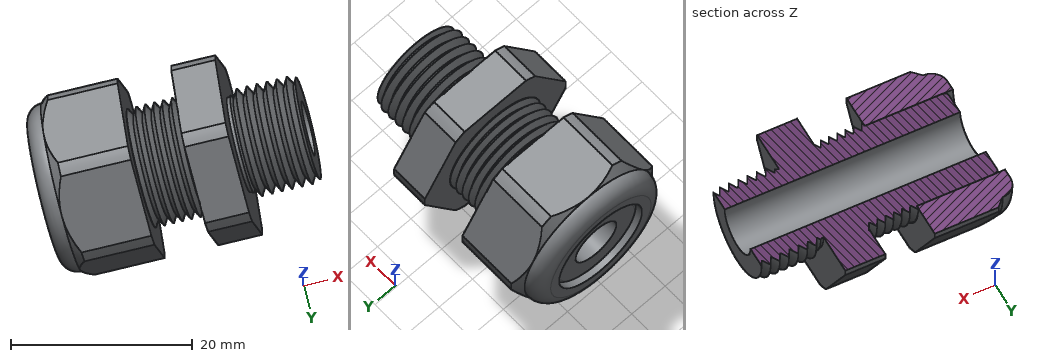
import cadquery as cq
import math


TOTAL_LENGTH = 29.97
NUT_LENGTH = 11.0
COLLAR_START = 17.08
COLLAR_LENGTH = 5.0
COLLAR_END = COLLAR_START + COLLAR_LENGTH

ACROSS_FLATS = 19.05
ACROSS_CORNERS = 21.15
FLAT_RADIUS = ACROSS_FLATS / 2
CORNER_RADIUS = ACROSS_CORNERS / 2

DOME_RADIUS = 2.0
CORNER_CHAMFER = CORNER_RADIUS - FLAT_RADIUS

SHANK_RADIUS = 6.2
SHANK_SETBACK = 0.75
SHANK_ROUNDING = 0.48
BORE_RADIUS = 3.05

FLANK_SLOPE = math.tan(math.radians(60))
SHORTEST_FLANK = 0.003
NUT_THREAD_RADIUS = 6.75
NUT_THREAD_PITCH = 1.02
NUT_THREAD_FIRST_CREST = 11.05
NUT_THREAD_GROOVES = 6
NUT_THREAD_LAST_CREST = NUT_THREAD_FIRST_CREST + NUT_THREAD_GROOVES * NUT_THREAD_PITCH
ENTRY_THREAD_RADIUS = 6.08
ENTRY_THREAD_PITCH = 1.15
ENTRY_THREAD_FIRST_CREST = 23.32

NECK_START_RADIUS = 5.35
NECK_END_RADIUS = 5.5
NECK_END = 22.5


def cylinder(radius, start, end):
    """Solid cylinder on the X axis."""
    return cq.Workplane("YZ", origin=(start, 0, 0)).circle(radius).extrude(end - start)


def hexagon(start, end):
    """Hexagonal prism with flats facing +Z and -Z and its corners turned down to a cylinder."""
    sharp_across_corners = ACROSS_FLATS / math.cos(math.radians(30))
    prism = cq.Workplane("YZ", origin=(start, 0, 0)).polygon(6, sharp_across_corners).extrude(end - start)
    return prism.intersect(cylinder(CORNER_RADIUS, start, end))


def revolve_about_x(outline):
    """Solid of revolution from a closed outline in the XY plane."""
    return outline.close().revolve(360, (0, 0, 0), (1, 0, 0))


def thread(start, end, first_crest, pitch, crest_radius):
    """Row of V ridges from start to end, cut off square wherever the ends fall on a flank."""

    def radius_at(x):
        past_crest = (x - first_crest) % pitch
        return crest_radius - FLANK_SLOPE * min(past_crest, pitch - past_crest)

    half_pitch = pitch / 2
    first_turn = math.ceil((start - first_crest) / half_pitch)
    last_turn = math.floor((end - first_crest) / half_pitch)
    turns = [first_crest + i * half_pitch for i in range(first_turn, last_turn + 1)]
    inner_turns = [x for x in turns if min(x - start, end - x) > SHORTEST_FLANK]
    ridges = [(x, radius_at(x)) for x in [start, *inner_turns, end]]
    return revolve_about_x(cq.Workplane("XY").polyline([(start, 0), *ridges, (end, 0)]))


def flared_neck():
    """Neck that leaves the collar parallel to the axis and curves outwards to meet the entry thread."""
    length = NECK_END - COLLAR_END
    flare = NECK_END_RADIUS - NECK_START_RADIUS
    arc_radius = (length**2 + flare**2) / (2 * flare)
    outline = (
        cq.Workplane("XY")
        .moveTo(COLLAR_END, 0)
        .lineTo(COLLAR_END, NECK_START_RADIUS)
        .radiusArc((NECK_END, NECK_END_RADIUS), -arc_radius)
        .lineTo(NECK_END, 0)
    )
    return revolve_about_x(outline)


def nose_envelope():
    """Domed nose widening by a 45 degree cone to the hexagon corners."""
    diagonal = DOME_RADIUS * math.sqrt(0.5)
    outline = (
        cq.Workplane("XY")
        .lineTo(0, FLAT_RADIUS - DOME_RADIUS)
        .threePointArc(
            (DOME_RADIUS - diagonal, FLAT_RADIUS - DOME_RADIUS + diagonal),
            (DOME_RADIUS, FLAT_RADIUS),
        )
        .lineTo(DOME_RADIUS + CORNER_CHAMFER, CORNER_RADIUS)
        .lineTo(NUT_LENGTH, CORNER_RADIUS)
        .lineTo(NUT_LENGTH, 0)
    )
    return revolve_about_x(outline)


def make_collar():
    """Hexagonal collar, relieved in front so that the last thread groove can run out into it."""
    runout = cylinder(NUT_THREAD_RADIUS, COLLAR_START, NUT_THREAD_LAST_CREST)
    return hexagon(COLLAR_START, COLLAR_END).cut(runout)


def make_cap_nut():
    nut = hexagon(0, NUT_LENGTH).intersect(nose_envelope())
    return nut.cut(cylinder(SHANK_RADIUS, 0, NUT_LENGTH))


def make_gland_body():
    shank = cylinder(SHANK_RADIUS, SHANK_SETBACK, NUT_LENGTH).faces("<X").edges().fillet(SHANK_ROUNDING)
    nut_thread = thread(
        NUT_LENGTH, NUT_THREAD_LAST_CREST, NUT_THREAD_FIRST_CREST, NUT_THREAD_PITCH, NUT_THREAD_RADIUS
    )
    collar = make_collar()
    neck = flared_neck()
    entry_thread = thread(
        NECK_END, TOTAL_LENGTH, ENTRY_THREAD_FIRST_CREST, ENTRY_THREAD_PITCH, ENTRY_THREAD_RADIUS
    )
    body = shank.union(nut_thread).union(collar).union(neck).union(entry_thread)
    return body.cut(cylinder(BORE_RADIUS, 0, TOTAL_LENGTH))


cap_nut = make_cap_nut()
gland_body = make_gland_body()

result = cq.Compound.makeCompound([cap_nut.val(), gland_body.val()])